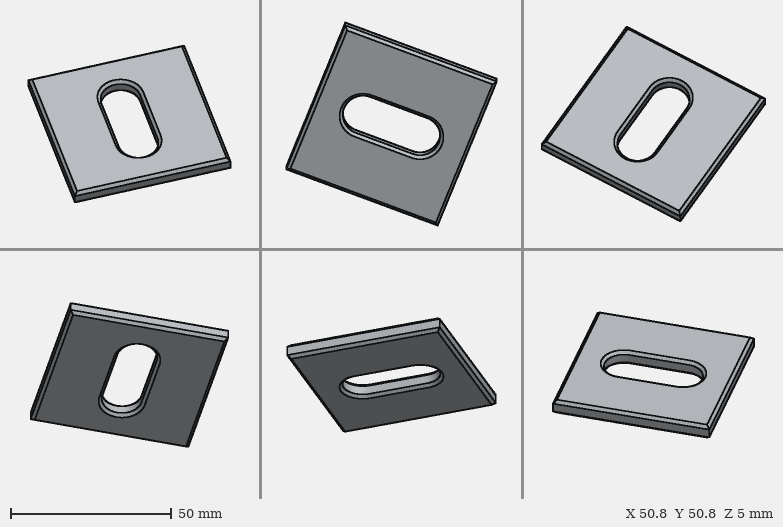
import cadquery as cq

side = 50.8
thickness = 5.0
chamfer = 1.0

slot_length = 31.7
slot_width = 12.6

plate = cq.Workplane("XY").box(side, side, thickness)
plate = plate.faces("<Z or >Z").chamfer(chamfer)


def slot_profile(plane_height, length, width):
    return cq.Workplane("XY").workplane(offset=plane_height).slot2D(length, width)


def slot_cutter():
    """Through slot that flares outward at both faces by the chamfer."""
    half = thickness / 2
    cutter = slot_profile(-half, slot_length, slot_width).extrude(thickness)
    mouth_length = slot_length + 2 * chamfer
    mouth_width = slot_width + 2 * chamfer
    mouth = slot_profile(half, mouth_length, mouth_width).extrude(-chamfer, taper=45)
    return cutter.union(mouth).union(mouth.mirror("XY"))


result = plate.cut(slot_cutter())